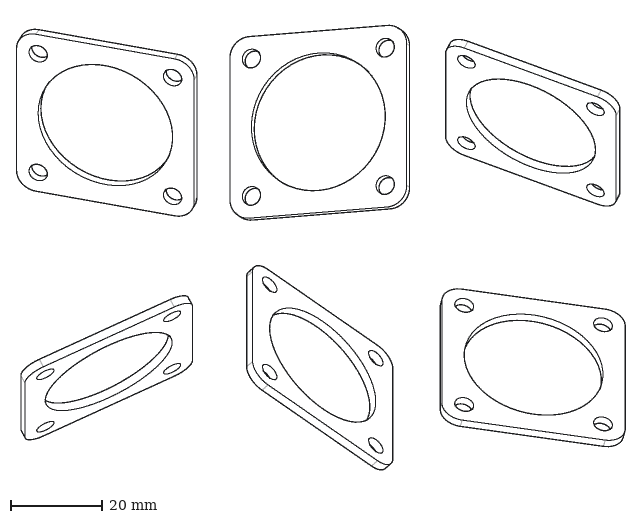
import cadquery as cq

plate_side = 41.0
plate_thickness = 2.0
corner_radius = 4.5
opening_diameter = 31.0
bolt_hole_diameter = 4.2
bolt_hole_spacing = 31.0


def make_plate():
    """Square plate standing in the XZ plane, with rounded corners."""
    plate = cq.Workplane("XY").box(plate_side, plate_thickness, plate_side)
    return plate.edges("|Y").fillet(corner_radius)


def cut_opening(plate):
    """Large round opening through the centre."""
    return plate.faces("<Y").workplane(centerOption="CenterOfBoundBox").hole(opening_diameter)


def cut_bolt_holes(plate):
    """One through hole near each corner."""
    return (
        plate.faces("<Y")
        .workplane(centerOption="CenterOfBoundBox")
        .rarray(bolt_hole_spacing, bolt_hole_spacing, 2, 2)
        .hole(bolt_hole_diameter)
    )


result = cut_bolt_holes(cut_opening(make_plate()))